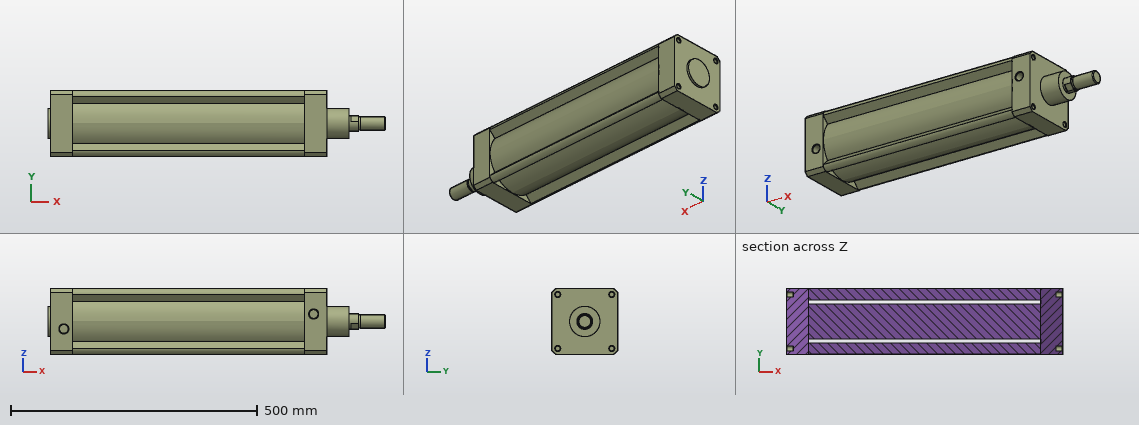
import cadquery as cq
import math


TOTAL_LENGTH = 685.0
REAR_COLLAR_LENGTH = 5.0
CAP_LENGTH = 45.0
BUSHING_LENGTH = 45.0
FRONT_CAP_START = 520.5
REAR_CAP_END = REAR_COLLAR_LENGTH + CAP_LENGTH
FRONT_CAP_END = FRONT_CAP_START + CAP_LENGTH
BUSHING_END = FRONT_CAP_END + BUSHING_LENGTH

CAP_WIDTH = 134.0
HALF_WIDTH = CAP_WIDTH / 2
CAP_CHAMFER = 8.0
COLLAR_DIAMETER = 61.5

SCREW_OFFSET = 55.0
SCREW_DIAMETER = 9.5
SCREW_COUNTERSINK = 1.5
SCREW_DEPTH = 14.0

PORT_DIAMETER = 18.0
PORT_COUNTERSINK = 1.5
PORT_DEPTH = 20.5
PORT_HEIGHT = 15.0
REAR_PORT_FROM_FACE = 27.5
FRONT_PORT_FROM_BARREL = 18.5

TUBE_RADIUS = 66.0
ROOF_PEAK = 66.5
ROOF_HALF_WIDTH = 7.5
TUBE_EDGE_ANGLE = 35.4
VALLEY_OFFSET = 40.5
CORNER_RADIUS = 14.0
CORNER_EDGE_OFFSET = 55.0

ROD_DIAMETER = 32.0
THREAD_DIAMETER = 28.0
THREAD_CHAMFER = 2.0
UNDERCUT_DIAMETER = 27.5
SHOULDER_LENGTH = 4.0
FLATS_LENGTH = 15.0
UNDERCUT_LENGTH = 4.0
ACROSS_FLATS = 28.0
FLATS_TILT = 45.0


def bar_along_x(diameter, start, length):
    """Round bar on the X axis."""
    return cq.Workplane("YZ", origin=(start, 0, 0)).circle(diameter / 2).extrude(length)


def cap_block(start):
    """Square cap with chamfered long edges."""
    block = cq.Workplane("YZ", origin=(start, 0, 0)).rect(CAP_WIDTH, CAP_WIDTH).extrude(CAP_LENGTH)
    return block.edges("|X").chamfer(CAP_CHAMFER)


def countersunk_hole(face_center, inward, diameter, depth, countersink):
    """Blind hole, as a cutter, with a 45 degree countersink at its mouth."""
    center = cq.Vector(*face_center)
    direction = cq.Vector(*inward)
    radius = diameter / 2
    hole = cq.Solid.makeCylinder(radius, depth, center, direction)
    mouth = cq.Solid.makeCone(radius + countersink, radius, countersink, center, direction)
    return hole.fuse(mouth)


def drill_screw_holes(cap, face_x, inward):
    """Drill the four corner holes into the outer face of a cap."""
    for y in (-SCREW_OFFSET, SCREW_OFFSET):
        for z in (-SCREW_OFFSET, SCREW_OFFSET):
            cap = cap.cut(
                countersunk_hole(
                    (face_x, y, z), (inward, 0, 0), SCREW_DIAMETER, SCREW_DEPTH, SCREW_COUNTERSINK
                )
            )
    return cap


def drill_port(cap, x, z):
    """Drill an air port into a cap from its -Y side."""
    return cap.cut(
        countersunk_hole((x, -HALF_WIDTH, z), (0, 1, 0), PORT_DIAMETER, PORT_DEPTH, PORT_COUNTERSINK)
    )


def make_rear_cap():
    """Rear cap with its shallow centring collar."""
    cap = cap_block(REAR_COLLAR_LENGTH).union(bar_along_x(COLLAR_DIAMETER, 0, REAR_COLLAR_LENGTH))
    cap = drill_screw_holes(cap, REAR_COLLAR_LENGTH, 1)
    return drill_port(cap, REAR_COLLAR_LENGTH + REAR_PORT_FROM_FACE, -PORT_HEIGHT)


def make_front_cap():
    """Front cap with the rod bushing."""
    cap = cap_block(FRONT_CAP_START).union(bar_along_x(COLLAR_DIAMETER, FRONT_CAP_END, BUSHING_LENGTH))
    cap = drill_screw_holes(cap, FRONT_CAP_END, -1)
    return drill_port(cap, FRONT_CAP_START + FRONT_PORT_FROM_BARREL, PORT_HEIGHT)


def on_tube(angle):
    """Point of the tube circle at an angle in degrees."""
    return (
        TUBE_RADIUS * math.cos(math.radians(angle)),
        TUBE_RADIUS * math.sin(math.radians(angle)),
    )


def turned(point, quarter_turns):
    """Point of the barrel section turned about the X axis."""
    y, z = point
    for _ in range(quarter_turns):
        y, z = -z, y
    return (y, z)


def mirrored(point):
    """Point of the barrel section mirrored about its 45 degree diagonal."""
    return (point[1], point[0])


def make_barrel():
    """Round tube with a low roof on each side and a rounded rib at each corner."""
    roof_angle = math.degrees(math.asin(ROOF_HALF_WIDTH / TUBE_RADIUS))
    roof_edge = on_tube(roof_angle)
    tube_middle = on_tube((roof_angle + TUBE_EDGE_ANGLE) / 2)
    tube_edge = on_tube(TUBE_EDGE_ANGLE)
    valley = (math.sqrt(TUBE_RADIUS**2 - VALLEY_OFFSET**2), VALLEY_OFFSET)
    corner_center = HALF_WIDTH - CORNER_RADIUS
    corner_reach = math.sqrt(CORNER_RADIUS**2 - (CORNER_EDGE_OFFSET - corner_center) ** 2)
    corner_edge = (corner_center + corner_reach, CORNER_EDGE_OFFSET)
    corner_middle = corner_center + CORNER_RADIUS * math.sqrt(0.5)
    corner_tip = (corner_middle, corner_middle)

    outline = cq.Workplane("YZ", origin=(REAR_CAP_END, 0, 0)).moveTo(ROOF_PEAK, 0)
    for quarter in range(4):
        outline = (
            outline.lineTo(*turned(roof_edge, quarter))
            .threePointArc(turned(tube_middle, quarter), turned(tube_edge, quarter))
            .lineTo(*turned(valley, quarter))
            .lineTo(*turned(corner_edge, quarter))
            .threePointArc(turned(corner_tip, quarter), turned(mirrored(corner_edge), quarter))
            .lineTo(*turned(mirrored(valley), quarter))
            .lineTo(*turned(mirrored(tube_edge), quarter))
            .threePointArc(turned(mirrored(tube_middle), quarter), turned(mirrored(roof_edge), quarter))
        )
        if quarter < 3:
            outline = outline.lineTo(*turned((0, ROOF_PEAK), quarter))
    return outline.close().extrude(FRONT_CAP_START - REAR_CAP_END)


def make_rod():
    """Rod end with two wrench flats, an undercut and a chamfered thread stub."""
    flats_start = BUSHING_END + SHOULDER_LENGTH
    undercut_start = flats_start + FLATS_LENGTH
    thread_start = undercut_start + UNDERCUT_LENGTH
    body = bar_along_x(ROD_DIAMETER, BUSHING_END, undercut_start - BUSHING_END)
    between_flats = (
        cq.Workplane("YZ", origin=(flats_start, 0, 0))
        .transformed(rotate=(0, 0, FLATS_TILT))
        .rect(ACROSS_FLATS, 2 * ROD_DIAMETER)
        .extrude(FLATS_LENGTH)
    )
    flat_waste = bar_along_x(2 * ROD_DIAMETER, flats_start, FLATS_LENGTH).cut(between_flats)
    thread = bar_along_x(THREAD_DIAMETER, thread_start, TOTAL_LENGTH - thread_start)
    thread = thread.faces(">X").chamfer(THREAD_CHAMFER)
    undercut = bar_along_x(UNDERCUT_DIAMETER, undercut_start, UNDERCUT_LENGTH)
    return body.cut(flat_waste).union(undercut).union(thread)


rear_cap = make_rear_cap()
barrel = make_barrel()
front_cap = make_front_cap()
rod = make_rod()

result = cq.Compound.makeCompound([rear_cap.val(), barrel.val(), front_cap.val(), rod.val()])